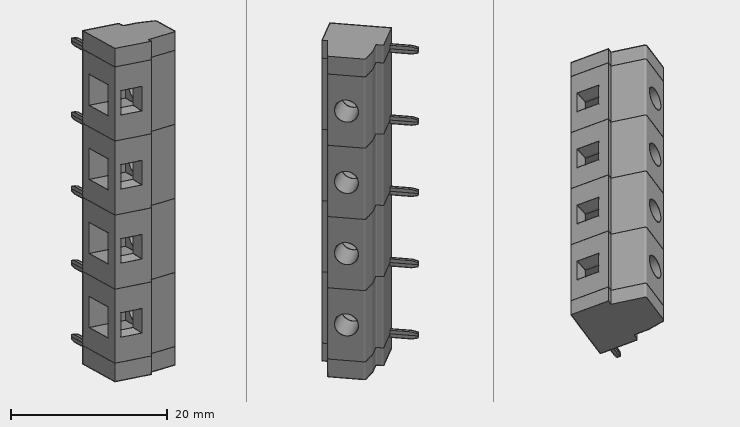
import cadquery as cq

pole_count = 4
pole_pitch = 10.0
end_length = 2.5
housing_depth = 8.0
housing_height = 10.0

shoulder_height = 5.4
head_left_base = 1.0
head_left_straight_top = 7.5
head_left_top = 1.5
head_right_base = 7.3
head_right_top = 6.4
head_edge_radius = 0.3
shoulder_radius = 0.2

recess_start = 1.6
recess_width = 4.7
recess_length = 4.2
recess_depth = shoulder_height
screw_hole_diameter = 3.1

window_start = 1.2
window_end = 3.7
window_length = 2.7
window_lip = 0.3
window_flare = 0.3

pin_length = 3.6
pin_width = 1.0
pin_tip_width = 0.6
pin_tip_length = 0.8
pin_thickness = 0.5
pin_bottom = 0.5

screw_hole_x = recess_start + recess_width / 2
recess_wall = housing_depth - recess_start - recess_width
first_joint = -pole_count * pole_pitch / 2


def housing_section(start, length):
    """Length of the housing profile that starts at the given Z, with rounded head and left shoulder."""
    body = (
        cq.Workplane("XY", origin=(0, 0, start))
        .polyline(
            [
                (0, 0),
                (housing_depth, 0),
                (housing_depth, shoulder_height),
                (head_right_base, shoulder_height),
                (head_right_top, housing_height),
                (head_left_top, housing_height),
                (head_left_base, head_left_straight_top),
                (head_left_base, shoulder_height),
                (0, shoulder_height),
            ]
        )
        .close()
        .extrude(length)
    )
    body = body.faces(">Y").edges("|Z").fillet(head_edge_radius)
    left_shoulder = cq.selectors.BoxSelector(
        (-shoulder_radius, shoulder_height - shoulder_radius, start),
        (head_left_base + shoulder_radius, shoulder_height + shoulder_radius, start + length),
    )
    return body.edges("|Z").edges(left_shoulder).fillet(shoulder_radius)


def half_pin(joint, side):
    """Half of a pin, on the +Z (side = 1) or -Z (side = -1) side of a joint."""
    outer = joint + side * pin_width / 2
    tip_outer = joint + side * pin_tip_width / 2
    return (
        cq.Workplane("XZ", origin=(0, pin_bottom, 0))
        .polyline(
            [
                (0, joint),
                (-pin_length, joint),
                (-pin_length, tip_outer),
                (pin_tip_length - pin_length, outer),
                (0, outer),
            ]
        )
        .close()
        .extrude(-pin_thickness)
    )


def recess_and_hole(center):
    """Square recess in the open face, with the screw hole on through the head."""
    face = cq.Workplane("XZ", origin=(screw_hole_x, 0, center))
    recess = face.rect(recess_width, recess_length).extrude(-recess_depth)
    hole = face.circle(screw_hole_diameter / 2).extrude(-housing_height)
    return recess.union(hole)


def window(center):
    """Opening through the +X wall: straight at the recess, flared towards the outside."""
    inner_x = recess_start + recess_width
    width = window_end - window_start
    middle = (window_start + window_end) / 2
    lip = (
        cq.Workplane("YZ", origin=(inner_x, middle, center))
        .rect(width, window_length)
        .extrude(window_lip)
    )
    mouth = (
        cq.Workplane("YZ", origin=(inner_x + window_lip, middle, center))
        .rect(width, window_length)
        .workplane(offset=recess_wall - window_lip)
        .rect(width + 2 * window_flare, window_length + 2 * window_flare)
        .loft()
    )
    return lip.union(mouth)


def pole_module(start):
    """One pole: a housing section with its terminal openings and a half pin at each end."""
    center = start + pole_pitch / 2
    body = housing_section(start, pole_pitch)
    body = body.cut(recess_and_hole(center)).cut(window(center))
    return body.union(half_pin(start, 1)).union(half_pin(start + pole_pitch, -1))


def end_piece(joint, side):
    """Plain end of the strip, outward of a joint in the direction given by side."""
    start = joint if side > 0 else joint - end_length
    return housing_section(start, end_length).union(half_pin(joint, side))


bodies = [end_piece(first_joint, -1), end_piece(-first_joint, 1)]
for pole in range(pole_count):
    bodies.append(pole_module(first_joint + pole * pole_pitch))

result = cq.Compound.makeCompound([body.val() for body in bodies])